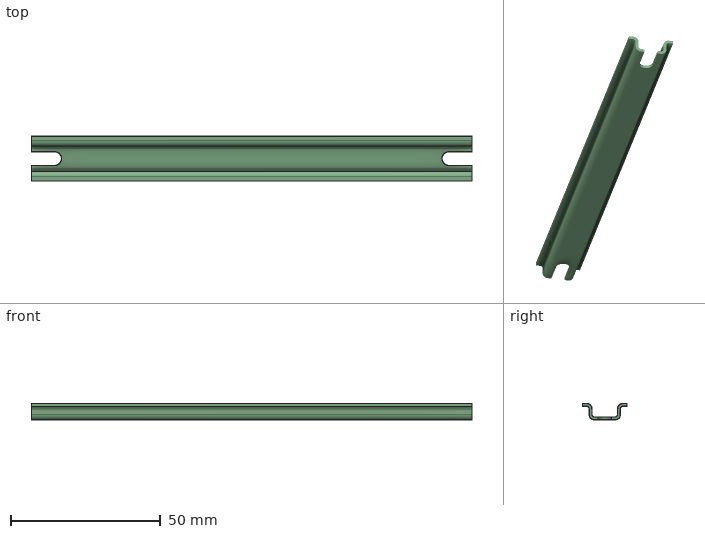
import cadquery as cq

length = 147.0
width = 15.0
height = 5.5

thickness = 1.0
channel_width = 10.5
inner_bend_radius = 0.8
outer_bend_radius = inner_bend_radius + thickness

slot_width = 4.5
slot_depth = 10.0

half_length = length / 2
half_width = width / 2
wall_outer = channel_width / 2
wall_inner = wall_outer - thickness
flange_underside = height - thickness


def half_section():
    """One side of the hat section, from the centre plane to the flange edge."""
    floor_bend_y = wall_outer - outer_bend_radius
    floor_bend_z = outer_bend_radius
    flange_bend_y = wall_inner + outer_bend_radius
    flange_bend_z = height - outer_bend_radius
    return (
        cq.Workplane("YZ", origin=(-half_length, 0, 0))
        .moveTo(0, 0)
        .lineTo(floor_bend_y, 0)
        .radiusArc((wall_outer, floor_bend_z), -outer_bend_radius)
        .lineTo(wall_outer, flange_bend_z)
        .radiusArc((flange_bend_y, flange_underside), inner_bend_radius)
        .lineTo(half_width, flange_underside)
        .lineTo(half_width, height)
        .lineTo(flange_bend_y, height)
        .radiusArc((wall_inner, flange_bend_z), -outer_bend_radius)
        .lineTo(wall_inner, floor_bend_z)
        .radiusArc((floor_bend_y, thickness), inner_bend_radius)
        .lineTo(0, thickness)
        .close()
    )


def make_rail():
    half_rail = half_section().extrude(length)
    return half_rail.union(half_rail.mirror("XZ")).clean()


def end_slot(side):
    """Round-bottomed cutter, open at the rail end on the given side (-1 or +1)."""
    return (
        cq.Workplane("XY", origin=(side * half_length, 0, 0))
        .slot2D(2 * slot_depth, slot_width)
        .extrude(thickness)
    )


result = make_rail()
for side in (-1, 1):
    result = result.cut(end_slot(side))